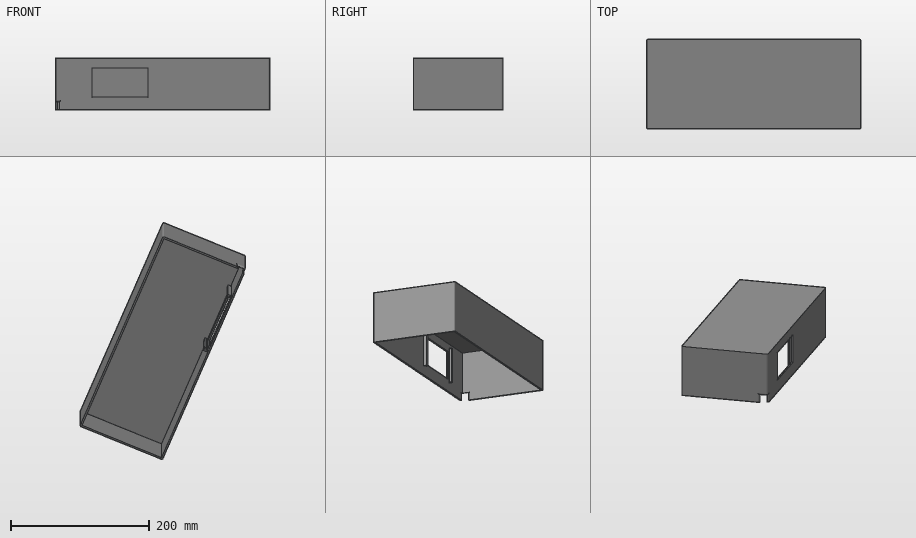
import cadquery as cq

length = 309.5
width = 129.7
height = 75.0
wall = 2.5
corner_radius = 2.2

window_left = 52.3
window_bottom = 18.5
window_length = 81.5
window_height = 41.8
window_right = window_left + window_length

slot_gap = 2.5
slot_depth = 2.5
lip_thickness = 2.5
rail_web = 2.5
rail_overhang = 4.5

notch_length = 7.7
notch_width = 15.0
notch_height = 14.0
notch_radius = wall


def box_from(x, y, z, size_x, size_y, size_z):
    """Box with its lowest corner at (x, y, z)."""
    return cq.Workplane("XY").box(size_x, size_y, size_z, centered=False).translate((x, y, z))


def notched_block():
    """Solid block with rounded vertical corners and the round-edged corner notch."""
    clear_length = notch_length - notch_radius
    clear_width = notch_width - notch_radius
    clear_height = notch_height - notch_radius
    block = box_from(0, 0, 0, length, width, height).edges("|Z").fillet(corner_radius)
    block = block.cut(box_from(0, 0, 0, clear_length, clear_width, clear_height))

    margin = 0.3
    low = (-margin, -margin, margin)
    front_edges = cq.selectors.BoxSelector(low, (clear_length + margin, corner_radius, clear_height + margin))
    left_edges = cq.selectors.BoxSelector(low, (corner_radius, clear_width + margin, clear_height + margin))
    return block.edges(front_edges + left_edges).fillet(notch_radius)


def window_rail(edge, outward):
    """L-shaped rail beside the window side at x = edge; outward is +1 or -1 along X."""
    outline = [
        (edge + outward * slot_depth, wall),
        (edge + outward * slot_depth, wall + slot_gap),
        (edge, wall + slot_gap),
        (edge, wall + slot_gap + lip_thickness),
        (edge + outward * (slot_depth + rail_web), wall + slot_gap + lip_thickness),
        (edge + outward * (slot_depth + rail_web), wall),
    ]
    rail = cq.Workplane("XY").polyline(outline).close().extrude(window_height + 2 * rail_overhang)
    return rail.translate((0, 0, window_bottom - rail_overhang))


cavity = box_from(wall, wall, 0, length - 2 * wall, width - 2 * wall, height - wall)
window = box_from(window_left, 0, window_bottom, window_length, wall, window_height)

cover = notched_block().cut(cavity).cut(window)
result = cover.union(window_rail(window_left, -1)).union(window_rail(window_right, 1))